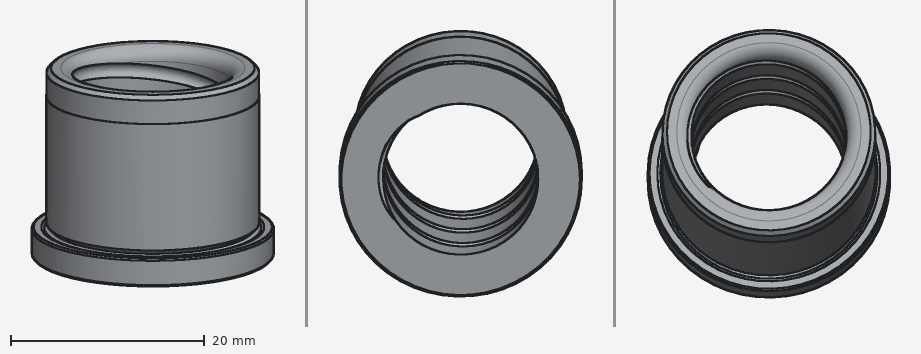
import cadquery as cq
import math

height = 20.0
flange_radius = 12.5
flange_height = 3.0
flange_chamfer = 0.2

body_radius = 11.0
lead_radius = 10.975
lead_length = 3.0
lead_chamfer = 0.475

bore_radius = 8.0
mouth_radius = 1.5

undercut_height = 0.5
undercut_depth = 0.5
undercut_rim_radius = 11.5
undercut_slope_radius = 11.2
undercut_slope_drop = 0.1
undercut_round_sag = 0.25

groove_pitch = 6.0
groove_width = 1.5
groove_depth = 0.5
groove_turns = 3.5
groove_end_z = height
groove_end_angle = 298.0


def bush_profile():
    """Half section of the bush; sketch x is the radius, sketch y is Z."""
    body_bottom = flange_height + undercut_height
    lead_bottom = height - lead_length

    wall_end = (body_radius - undercut_depth, body_bottom - undercut_depth)
    slope_end = (undercut_slope_radius, flange_height - undercut_slope_drop)
    round_mid = (
        (wall_end[0] + slope_end[0]) / 2,
        (wall_end[1] + slope_end[1]) / 2 - undercut_round_sag,
    )

    mouth_bulge = mouth_radius * (1 - math.cos(math.radians(45)))
    mouth_mid = (bore_radius + mouth_bulge, height - mouth_bulge)

    return (
        cq.Workplane("XZ")
        .moveTo(bore_radius, 0)
        .lineTo(flange_radius - flange_chamfer, 0)
        .lineTo(flange_radius, flange_chamfer)
        .lineTo(flange_radius, flange_height - flange_chamfer)
        .lineTo(flange_radius - flange_chamfer, flange_height)
        .lineTo(undercut_rim_radius, flange_height)
        .lineTo(*slope_end)
        .threePointArc(round_mid, wall_end)
        .lineTo(body_radius, body_bottom)
        .lineTo(body_radius, lead_bottom)
        .lineTo(lead_radius, lead_bottom)
        .lineTo(lead_radius, height - lead_chamfer)
        .lineTo(lead_radius - lead_chamfer, height)
        .lineTo(bore_radius + mouth_radius, height)
        .threePointArc(mouth_mid, (bore_radius, height - mouth_radius))
        .close()
    )


def oil_groove():
    """Round bar wound along a helix, giving the groove its width and depth in the bore wall."""
    section_radius = (groove_width**2 / 4 + groove_depth**2) / (2 * groove_depth)
    helix_radius = bore_radius + groove_depth - section_radius
    helix_height = groove_turns * groove_pitch
    helix = cq.Workplane(cq.Wire.makeHelix(groove_pitch, helix_height, helix_radius))
    bar = (
        cq.Workplane("XZ")
        .center(helix_radius, 0)
        .circle(section_radius)
        .sweep(helix, isFrenet=True)
    )
    start_angle = groove_end_angle - 360 * groove_turns
    start_z = groove_end_z - helix_height
    return bar.rotate((0, 0, 0), (0, 0, 1), start_angle).translate((0, 0, start_z))


bush = bush_profile().revolve(360, (0, 0, 0), (0, 1, 0))
result = bush.cut(oil_groove())